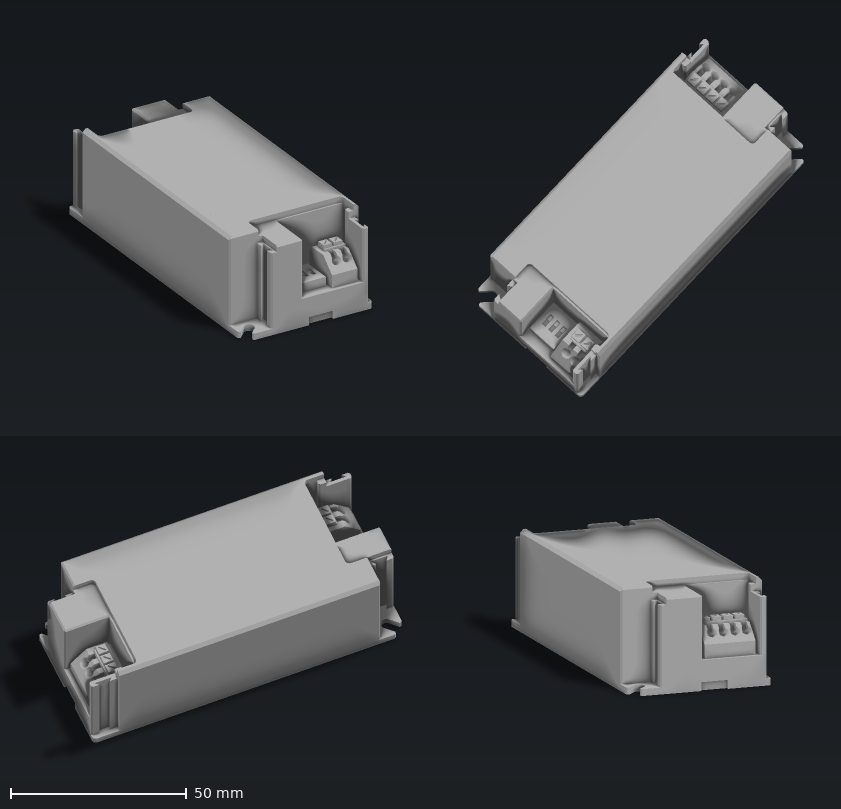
import cadquery as cq
import math

length = 97.0
width = 43.0
height = 30.0
half_length = length / 2
half_width = width / 2

flange_thickness = 2.0
lid_thickness = 2.0
block_top = height - lid_thickness
clip_top = 26.0
lid_edge_chamfer = 1.0
corner_radius = 1.2
edge_chamfer = 0.5

end_depth = 8.0
lid_pocket_depth = 14.4
lid_pocket_y = (-19.7, 11.8)
lid_pocket_radius = 1.3
bay_depth = 13.8
bay_floor = 9.0
tab_clip_y = (10.5, 12.4)
plain_clip_y = (-18.05, -20.05)
clip_root_end = 10.3
clip_root_chamfer = 0.5
driver_bay_edge = -0.45
dip_bay_edge = 1.9

groove_centre = 4.0
groove_mouth = 3.2
groove_base = 5.2
tab_groove_depth = 1.45
plain_groove_depth = 1.0

slot_diameter = 3.3
slot_inset = 4.4
slot_corner_relief = 3.2
slot_tip_radius = 0.6

notch_y = (-8.15, -0.15)
notch_depth = 1.0
notch_height = 2.6

label_x = (-32.1, 31.9)
label_half_width = 18.55
label_corner = 3.1
label_thickness = 0.2

pole_pitch = 3.5
terminal_start_y = -17.1
spacer_width = 1.45
terminal_front = 1.4
terminal_front_top = 13.1
terminal_slope_end = 6.2
terminal_top = 17.5
terminal_rear_edge = 12.5
terminal_rear_top = 15.5
wire_centre_z = 15.75
wire_width = 1.8
wire_end = 7.8
funnel_diameter = 3.2
funnel_tip_diameter = 0.9
funnel_depth = 1.8
button_base_x = (7.9, 11.4)
button_base_top = 18.15
button_x = (8.4, 11.4)
button_width = 2.75
button_top = 19.3
driver_slot_width = 0.6
driver_slot_length = 2.4
driver_slot_depth = 0.6

dip_x = (3.4, 13.4)
dip_y = (-7.85, 1.4)
dip_height = 3.0
dip_window_x = (6.5, 10.3)
dip_window_width = 1.4
dip_window_depth = 1.0
dip_pitch = 2.5
dip_switch_count = 3
dip_first_y = -5.95
slider_length = 1.4
slider_inset = 0.3
slider_width = 1.0
slider_drop = 0.3


def block(x_range, y_range, z_range):
    """Box between opposite limits, with x counted inwards from the -X end face."""
    x0, x1 = x_range
    y0, y1 = min(y_range), max(y_range)
    z0, z1 = z_range
    corner = (x0 - half_length, y0, z0)
    return cq.Workplane("XY").box(x1 - x0, y1 - y0, z1 - z0, centered=False).translate(corner)


def prism(points, z_range):
    """Upright prism over plan points whose x is counted inwards from the -X end face."""
    outline = [(x - half_length, y) for x, y in points]
    z0, z1 = z_range
    return cq.Workplane("XY").workplane(offset=z0).polyline(outline).close().extrude(z1 - z0)


def opposite(shape):
    """Turn a feature of the -X end round to the +X end."""
    return shape.rotate((0, 0, 0), (0, 0, 1), 180)


def chamfer_near(shape, points, size):
    """Chamfer the edges whose centres lie closest to the given points."""
    for x, y, z in points:
        target = (x - half_length, y, z)
        shape = shape.edges(cq.selectors.NearestToPointSelector(target)).chamfer(size)
    return shape


def dovetail(outer_y, depth):
    """Upright groove sunk into a clip; a positive depth goes towards +Y."""
    points = [
        (groove_centre - groove_mouth / 2, outer_y),
        (groove_centre + groove_mouth / 2, outer_y),
        (groove_centre + groove_base / 2, outer_y + depth),
        (groove_centre - groove_base / 2, outer_y + depth),
    ]
    return prism(points, (flange_thickness, height))


def screw_slot():
    """45 degree slot open through the corner of the tab."""
    centre = (slot_inset - half_length, half_width - slot_inset)
    reach = 2 * slot_inset
    round_end = cq.Workplane("XY").center(*centre).circle(slot_diameter / 2).extrude(flange_thickness)
    channel = (
        cq.Workplane("XY")
        .box(reach, slot_diameter, flange_thickness, centered=(False, True, False))
        .rotate((0, 0, 0), (0, 0, 1), 135)
        .translate((*centre, 0))
    )
    relief = block(
        (0, slot_corner_relief), (half_width - slot_corner_relief, half_width), (0, flange_thickness)
    )
    return round_end.union(channel).union(relief)


def cut_screw_slot(body):
    """Cut the slot into the tab and round the outer corners beside its mouth."""
    body = body.cut(screw_slot())
    for x, from_side in [(0, slot_corner_relief), (slot_corner_relief, 0)]:
        tip = (x - half_length, half_width - from_side, flange_thickness / 2)
        body = body.edges(cq.selectors.NearestToPointSelector(tip)).fillet(slot_tip_radius)
    return body


def lid_pocket():
    """Recess in the lid over one end, rounded at its two inner corners."""
    pocket = block((0, lid_pocket_depth), lid_pocket_y, (block_top, height))
    return pocket.edges("|Z and >X").fillet(lid_pocket_radius)


def terminal_bay(bay_edge):
    """Open space for the connectors, widened behind the end of the plain clip."""
    inner_y, _ = plain_clip_y
    main = block((0, bay_depth), (inner_y, bay_edge), (bay_floor, block_top))
    pocket_side = lid_pocket_y[0]
    side_gap = block((clip_root_end, bay_depth), (pocket_side, inner_y), (bay_floor, block_top))
    return main.union(side_gap)


def cut_end(body, bay_edge):
    """Cut everything belonging to the -X end."""
    tab_inner, tab_outer = tab_clip_y
    plain_inner, plain_outer = plain_clip_y
    clip_x = (0, end_depth)
    body = body.cut(block(clip_x, (tab_outer, half_width), (flange_thickness, height)))
    body = body.cut(block(clip_x, (-half_width, plain_outer), (flange_thickness, height)))
    body = body.cut(lid_pocket())
    body = body.cut(block(clip_x, tab_clip_y, (clip_top, height)))
    body = body.cut(block(clip_x, plain_clip_y, (clip_top, height)))
    body = body.cut(terminal_bay(bay_edge))

    clip_middle = (flange_thickness + clip_top) / 2
    end_wall_middle = (flange_thickness + height) / 2
    bay_middle = (bay_floor + block_top) / 2
    sharp_edges = [
        (end_depth, half_width, end_wall_middle),
        (end_depth, (half_width + tab_outer) / 2, height),
        (0, tab_outer, clip_middle),
        (0, plain_outer, clip_middle),
        (0, plain_inner, (bay_floor + clip_top) / 2),
        (0, (bay_edge + tab_inner) / 2, block_top),
        (bay_depth / 2, bay_edge, block_top),
        (0, bay_edge, bay_middle),
    ]
    body = chamfer_near(body, sharp_edges, edge_chamfer)
    root_edge = [(clip_root_end, plain_inner, bay_middle)]
    body = chamfer_near(body, root_edge, clip_root_chamfer)

    body = body.cut(dovetail(tab_outer, -tab_groove_depth))
    body = body.cut(dovetail(plain_outer, plain_groove_depth))
    body = cut_screw_slot(body)
    return body.cut(block((0, notch_depth), notch_y, (0, notch_height)))


def make_label():
    """Thin plate flush with the lid, one corner cut off."""
    x0, x1 = label_x
    points = [
        (x0, -label_half_width),
        (x1 - label_corner, -label_half_width),
        (x1, -label_half_width + label_corner),
        (x1, label_half_width),
        (x0, label_half_width),
    ]
    plane = cq.Workplane("XY").workplane(offset=height - label_thickness)
    return plane.polyline(points).close().extrude(label_thickness)


def make_housing():
    body = cq.Workplane("XY").box(length, width, height, centered=(True, True, False))
    for x, y in [(0, -half_width), (length, half_width)]:
        corner = cq.selectors.NearestToPointSelector((x - half_length, y, height / 2))
        body = body.edges(corner).fillet(corner_radius)
    for side in (-half_width, half_width):
        body = chamfer_near(body, [(half_length, side, height)], lid_edge_chamfer)
    body = cut_end(body, driver_bay_edge)
    body = opposite(cut_end(opposite(body), dip_bay_edge))
    return body.cut(make_label())


def wire_entry(y):
    """Funnel on the slope leading into a round-bottomed channel open at the top."""
    slope_run = terminal_slope_end - terminal_front
    slope_rise = terminal_top - terminal_front_top
    mouth_x = terminal_front + slope_run * (wire_centre_z - terminal_front_top) / slope_rise
    bore = (
        cq.Workplane("YZ", origin=(terminal_front - half_length, y, wire_centre_z))
        .circle(wire_width / 2)
        .extrude(wire_end - terminal_front)
    )
    channel = block(
        (terminal_front, wire_end),
        (y - wire_width / 2, y + wire_width / 2),
        (wire_centre_z, terminal_top),
    )
    slope_length = math.hypot(slope_run, slope_rise)
    inwards = cq.Vector(slope_rise / slope_length, 0, -slope_run / slope_length)
    mouth = cq.Vector(mouth_x - half_length, y, wire_centre_z)
    funnel = cq.Solid.makeCone(funnel_diameter / 2, funnel_tip_diameter / 2, funnel_depth, mouth, inwards)
    return bore.union(channel).union(cq.Workplane(funnel))


def release_button(y):
    """Raised button with a diagonal screwdriver slot."""
    x0, x1 = button_x
    button = block(button_x, (y, y + button_width), (button_base_top, button_top))
    slot = (
        cq.Workplane("XY")
        .box(driver_slot_length, driver_slot_width, driver_slot_depth, centered=(True, True, False))
        .rotate((0, 0, 0), (0, 0, 1), -45)
        .translate(((x0 + x1) / 2 - half_length, y + button_width / 2, button_top - driver_slot_depth))
    )
    return button.cut(slot)


def terminal_profile(y, depth):
    """Side profile of a terminal block, extruded towards +Y from y."""
    outline = [
        (terminal_front, bay_floor),
        (terminal_front, terminal_front_top),
        (terminal_slope_end, terminal_top),
        (terminal_rear_edge, terminal_top),
        (bay_depth, terminal_rear_top),
        (bay_depth, bay_floor),
    ]
    points = [(x - half_length, z) for x, z in outline]
    plane = cq.Workplane("XZ", origin=(0, y, 0))
    return plane.polyline(points).close().extrude(-depth)


def make_terminal(pole_count):
    """Row of poles at the -X end, closed by a plain spacer on the inner side."""
    poles_width = pole_count * pole_pitch
    poles_y = (terminal_start_y, terminal_start_y + poles_width)
    body = terminal_profile(terminal_start_y, poles_width + spacer_width)
    body = body.union(block(button_base_x, poles_y, (terminal_top, button_base_top)))
    for index in range(pole_count):
        pole_y = terminal_start_y + index * pole_pitch
        body = body.cut(wire_entry(pole_y + pole_pitch / 2))
        body = body.union(release_button(pole_y + pole_pitch - button_width))
    return body


def make_dip_switch():
    """Flat block with a row of windows, a slider standing in each."""
    face = bay_floor + dip_height
    window_floor = face - dip_window_depth
    slider_end = dip_window_x[1] - slider_inset
    slider_x = (slider_end - slider_length, slider_end)
    body = block(dip_x, dip_y, (bay_floor, face))
    for index in range(dip_switch_count):
        y = dip_first_y + index * dip_pitch
        window_y = (y - dip_window_width / 2, y + dip_window_width / 2)
        slider_y = (y - slider_width / 2, y + slider_width / 2)
        body = body.cut(block(dip_window_x, window_y, (window_floor, face)))
        body = body.union(block(slider_x, slider_y, (window_floor, face - slider_drop)))
    return body


housing = make_housing()
label = make_label()
four_pole_terminal = make_terminal(4)
two_pole_terminal = opposite(make_terminal(2))
dip_switch = opposite(make_dip_switch())

result = cq.Compound.makeCompound([
    housing.val(),
    label.val(),
    four_pole_terminal.val(),
    two_pole_terminal.val(),
    dip_switch.val(),
])